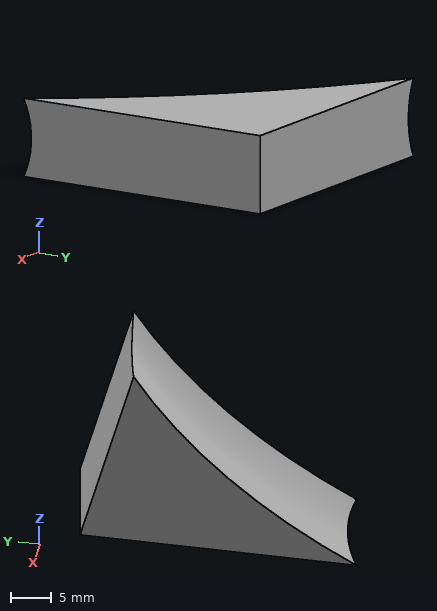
import cadquery as cq
import math

leg = 34.82
height = 10.0
rim_radius = 117.35
profile_radius = 20.0

half_chord = leg / math.sqrt(2)
axis_to_chord = math.sqrt(rim_radius**2 - half_chord**2)
axis_position = -axis_to_chord / math.sqrt(2)

half_height = height / 2
bulge = profile_radius - math.sqrt(profile_radius**2 - half_height**2)
crown_radius = rim_radius + bulge


def corner_block():
    """Right-angled triangular prism, square corner at +X +Y, centred on the XY plane."""
    tips = [(-leg / 2, leg / 2), (leg / 2, leg / 2), (leg / 2, -leg / 2)]
    return cq.Workplane("XY").workplane(offset=-half_height).polyline(tips).close().extrude(height)


def rounded_disc():
    """Disc with a convex rim that hollows the curved side."""
    return (
        cq.Workplane("XZ")
        .moveTo(0, -half_height)
        .lineTo(rim_radius, -half_height)
        .threePointArc((crown_radius, 0), (rim_radius, half_height))
        .lineTo(0, half_height)
        .close()
        .revolve(360, (0, 0, 0), (0, 1, 0))
        .translate((axis_position, axis_position, 0))
    )


result = corner_block().cut(rounded_disc())